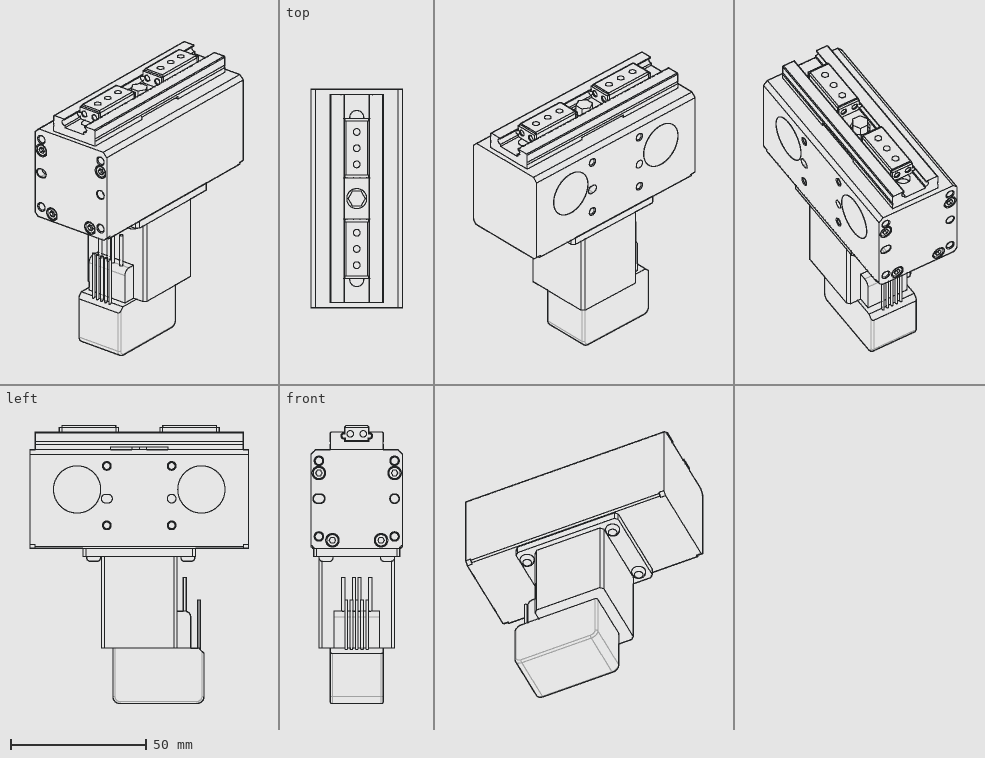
import cadquery as cq
import math


HOUSING_WIDTH = 34.0
HOUSING_HEIGHT = 36.5
BODY_LENGTH = 77.0
PLATE_THICKNESS = 2.0
HOUSING_LENGTH = BODY_LENGTH + 2 * PLATE_THICKNESS
TOP_CHAMFER = 1.7
PLATE_BOTTOM_CHAMFER = 1.4
BODY_BOTTOM_CHAMFER = 0.7
SIDE_FACE_X = -HOUSING_WIDTH / 2
END_FACE_Y = -HOUSING_LENGTH / 2

SIDE_TAP_DIAMETER = 2.5
END_TAP_DIAMETER = 2.8
TAP_CHAMFER = 0.35
TAP_DEPTH = 6.0
TAP_POINT_HALF_ANGLE = 59.0
SIDE_TAP_Y = 12.0
SIDE_TAP_PITCH_Z = 22.0
SIDE_TAP_LOW_Z = 8.5
END_TAP_X = 14.0
END_TAP_PITCH_Z = 28.0
END_TAP_LOW_Z = 4.4

SIDE_LOCATOR_DIAMETER = 3.2
END_LOCATOR_DIAMETER = 3.2
END_LOCATOR_CHAMFER = 0.2
LOCATOR_SLOT_TRAVEL = 0.9
LOCATOR_DEPTH = 3.0
LOCATOR_Z = 18.4

RECESS_DIAMETER = 17.5
RECESS_DEPTH = 0.1
RECESS_Y = 23.0
RECESS_Z = 21.8

CAP_SEAT_DIAMETER = 5.0
CAP_SEAT_DEPTH = 1.5
CAP_HEAD_DIAMETER = 4.2
CAP_SOCKET_DIAMETER = 2.4
CAP_HEAD_DEPTH = 0.2
UPPER_CAP_SCREW = (14.0, 27.9)
LOWER_CAP_SCREW = (9.0, 3.0)

FLANGE_WIDTH = 32.0
FLANGE_LENGTH = 41.7
FLANGE_THICKNESS = 3.1
CORNER_CHAMFER = 1.1
FLANGE_BOTTOM_Z = -FLANGE_THICKNESS

MOTOR_SIZE = 28.0
MOTOR_BOTTOM_Z = -36.9

HEAD_DIAMETER = 5.2
HEAD_TIP_DIAMETER = 3.2
HEAD_HEIGHT = 1.75
HEAD_BULGE = 0.7
HEAD_X = 11.4
HEAD_REAR_Y = 16.9
HEAD_FRONT_Y = -18.0

ENCODER_WIDTH = 19.7
ENCODER_REAR_Y = 9.8
ENCODER_FRONT_Y = -24.0
ENCODER_BOTTOM_Z = -57.5
ENCODER_FILLET = 2.7
ENCODER_TOP_CHAMFER = 2.0
ENCODER_SIDE_FILLET = 0.8

CONNECTOR_WIDTH = 17.0
CONNECTOR_FRONT_Y = -19.1
CONNECTOR_TOP_Z = -23.2
CONNECTOR_FILLET = 2.3

MOTOR_LEAD_DIAMETER = 1.2
MOTOR_LEAD_X = (-5.0, -1.0, 1.0, 5.0)
MOTOR_LEAD_Y = -16.85
MOTOR_LEAD_TOP_Z = -10.7
ENCODER_LEAD_DIAMETER = 1.0
ENCODER_LEAD_COUNT = 5
ENCODER_LEAD_PITCH = 1.95
ENCODER_LEAD_Y = -22.1
ENCODER_LEAD_TOP_Z = -19.05
LEAD_ROOT = 1.5

RAIL_WIDTH = 19.7
RAIL_TOP_Z = 43.1
RAIL_TOP_CHAMFER = 0.35
RAIL_FLOOR_Z = 39.6
RAIL_SIDE_GROOVE_Z = 39.0
RAIL_SIDE_GROOVE_HEIGHT = 1.05
RAIL_SIDE_GROOVE_DEPTH = 0.13
CHANNEL_UPPER_WIDTH = 9.6
CHANNEL_LOWER_WIDTH = 8.9
BALL_X = 4.7
BALL_Z = 41.6
BALL_GROOVE_RADIUS = 1.1
NOTCH_LENGTH = 21.2
NOTCH_HEIGHT = 1.0
RAIL_SCREW_HOLE_DIAMETER = 5.2
RAIL_SCREW_HOLE_Y = 30.0
POST_HOLE_DIAMETER = 7.4

CARRIAGE_Y = 18.65
BLOCK_WIDTH = 9.1
BLOCK_LENGTH = 20.0
BLOCK_CHAMFER_HEIGHT = 0.7
BLOCK_CHAMFER_WIDTH = 0.5
END_CAP_WIDTH = 8.8
END_CAP_LENGTH = 1.0
CARRIAGE_LOWER_WIDTH = 8.5
CARRIAGE_LENGTH = BLOCK_LENGTH + 2 * END_CAP_LENGTH
CARRIAGE_TOP_Z = 45.5
CARRIAGE_BOTTOM_Z = 39.9
BALL_BEAD_RADIUS = 0.85
CARRIAGE_HOLE_DIAMETER = 2.5
CARRIAGE_HOLE_PITCH = 6.0
CARRIAGE_HOLE_DEPTH = 3.0
CAP_HOLE_DIAMETER = 2.4
CAP_HOLE_DEPTH = 0.5
CAP_HOLE_X = 2.4
CAP_HOLE_Z = 42.4

POST_ACROSS_FLATS = 5.5
POST_TOP_Z = 42.5


def centred_box(width, length, bottom_z, top_z):
    box = cq.Workplane("XY").box(width, length, top_z - bottom_z, centered=(True, True, False))
    return box.translate((0, 0, bottom_z))


def rod(diameter, x, y, bottom_z, top_z):
    return cq.Workplane("XY", origin=(x, y, bottom_z)).circle(diameter / 2).extrude(top_z - bottom_z)


def end_plane(x, z):
    """Workplane on the -Y end face, facing into the housing."""
    return cq.Workplane(cq.Plane((x, END_FACE_Y, z), xDir=(1, 0, 0), normal=(0, 1, 0)))


def side_plane(y, z):
    """Workplane on the -X side face, facing into the housing."""
    return cq.Workplane(cq.Plane((SIDE_FACE_X, y, z), xDir=(0, 1, 0), normal=(1, 0, 0)))


def tapped_hole(plane, diameter):
    """Cutter of a blind tapped hole with a chamfered mouth and a drill point."""
    mouth = plane.circle(diameter / 2 + TAP_CHAMFER).extrude(TAP_CHAMFER, taper=45)
    bore = plane.circle(diameter / 2).extrude(TAP_DEPTH)
    point_length = diameter / 2 / math.tan(math.radians(TAP_POINT_HALF_ANGLE))
    bottom = plane.workplane(offset=TAP_DEPTH).plane
    point = cq.Solid.makeCone(diameter / 2, 0, point_length, bottom.origin, bottom.zDir)
    return bore.union(mouth).union(cq.Workplane(point))


def cap_screw_recess(plane):
    """Cutter around and into a cap screw sunk in its seat."""
    seat = plane.circle(CAP_SEAT_DIAMETER / 2).extrude(CAP_SEAT_DEPTH)
    head = plane.workplane(offset=CAP_HEAD_DEPTH).circle(CAP_HEAD_DIAMETER / 2).extrude(CAP_SEAT_DEPTH)
    socket = plane.polygon(6, CAP_SOCKET_DIAMETER).extrude(CAP_SEAT_DEPTH)
    return seat.cut(head).union(socket)


def build_shell():
    """Body between two end plates."""
    body = centred_box(HOUSING_WIDTH, BODY_LENGTH, 0, HOUSING_HEIGHT)
    body = body.edges("|Y and >Z").chamfer(TOP_CHAMFER)
    body = body.edges("|Y and <Z").chamfer(BODY_BOTTOM_CHAMFER)
    shell = body
    for end in (-1, 1):
        plate = centred_box(HOUSING_WIDTH, PLATE_THICKNESS, 0, HOUSING_HEIGHT)
        plate = plate.edges("|Y and >Z").chamfer(TOP_CHAMFER)
        plate = plate.edges("|Y and <Z").chamfer(PLATE_BOTTOM_CHAMFER)
        shell = shell.union(plate.translate((0, end * (BODY_LENGTH + PLATE_THICKNESS) / 2, 0)))
    return shell


def cut_side_features(shell):
    for y in (-SIDE_TAP_Y, SIDE_TAP_Y):
        for z in (SIDE_TAP_LOW_Z, SIDE_TAP_LOW_Z + SIDE_TAP_PITCH_Z):
            shell = shell.cut(tapped_hole(side_plane(y, z), SIDE_TAP_DIAMETER))
    for y in (-RECESS_Y, RECESS_Y):
        shell = shell.cut(side_plane(y, RECESS_Z).circle(RECESS_DIAMETER / 2).extrude(RECESS_DEPTH))
    hole = side_plane(-SIDE_TAP_Y, LOCATOR_Z).circle(SIDE_LOCATOR_DIAMETER / 2)
    slot_length = SIDE_LOCATOR_DIAMETER + LOCATOR_SLOT_TRAVEL
    slot = side_plane(SIDE_TAP_Y, LOCATOR_Z).slot2D(slot_length, SIDE_LOCATOR_DIAMETER)
    return shell.cut(hole.extrude(LOCATOR_DEPTH)).cut(slot.extrude(LOCATOR_DEPTH))


def cut_end_features(shell):
    for side in (-1, 1):
        for z in (END_TAP_LOW_Z, END_TAP_LOW_Z + END_TAP_PITCH_Z):
            tap = tapped_hole(end_plane(side * END_TAP_X, z), END_TAP_DIAMETER)
            shell = shell.cut(tap)
        for x, z in (UPPER_CAP_SCREW, LOWER_CAP_SCREW):
            shell = shell.cut(cap_screw_recess(end_plane(side * x, z)))
    hole_plane = end_plane(END_TAP_X, LOCATOR_Z)
    slot_plane = end_plane(-END_TAP_X, LOCATOR_Z)
    mouth_diameter = END_LOCATOR_DIAMETER + 2 * END_LOCATOR_CHAMFER
    for diameter, depth, taper in (
        (END_LOCATOR_DIAMETER, LOCATOR_DEPTH, 0),
        (mouth_diameter, END_LOCATOR_CHAMFER, 45),
    ):
        hole = hole_plane.circle(diameter / 2).extrude(depth, taper=taper)
        slot = slot_plane.slot2D(diameter + LOCATOR_SLOT_TRAVEL, diameter).extrude(depth, taper=taper)
        shell = shell.cut(hole).cut(slot)
    return shell


def build_motor():
    """Flange with its screw heads, and the motor body below it."""
    flange = centred_box(FLANGE_WIDTH, FLANGE_LENGTH, FLANGE_BOTTOM_Z, 0)
    flange = flange.edges("|Z").chamfer(CORNER_CHAMFER)
    motor = centred_box(MOTOR_SIZE, MOTOR_SIZE, MOTOR_BOTTOM_Z, FLANGE_BOTTOM_Z)
    motor = flange.union(motor.edges("|Z").chamfer(CORNER_CHAMFER))
    for x in (-HEAD_X, HEAD_X):
        for y in (HEAD_FRONT_Y, HEAD_REAR_Y):
            motor = motor.union(build_screw_head().translate((x, y, FLANGE_BOTTOM_Z)))
    return motor


def build_screw_head():
    """Domed screw head hanging from Z = 0."""
    rim = HEAD_DIAMETER / 2
    tip = HEAD_TIP_DIAMETER / 2
    bulge = (tip + HEAD_BULGE * (rim - tip), -HEAD_BULGE * HEAD_HEIGHT)
    half = cq.Workplane("XZ").lineTo(rim, 0).threePointArc(bulge, (tip, -HEAD_HEIGHT))
    half = half.lineTo(0, -HEAD_HEIGHT).close()
    return half.revolve(360, (0, 0, 0), (0, 1, 0))


def build_encoder():
    """Encoder cover under the motor."""
    length = ENCODER_REAR_Y - ENCODER_FRONT_Y
    cover = centred_box(ENCODER_WIDTH, length, ENCODER_BOTTOM_Z, MOTOR_BOTTOM_Z)
    cover = cover.edges("|X and <Z").fillet(ENCODER_FILLET)
    for side in ("<X", ">X"):
        cover = cover.faces(side).edges("not(|Y and >Z)").fillet(ENCODER_SIDE_FILLET)
    corner = cq.Workplane("YZ", origin=(0, -length / 2, MOTOR_BOTTOM_Z)).lineTo(ENCODER_TOP_CHAMFER, 0)
    corner = corner.lineTo(0, -ENCODER_TOP_CHAMFER).close().extrude(ENCODER_WIDTH, both=True)
    cover = cover.cut(corner)
    return cover.translate((0, (ENCODER_REAR_Y + ENCODER_FRONT_Y) / 2, 0))


def build_connector():
    """Block on the motor front that the motor leads come out of."""
    length = -MOTOR_SIZE / 2 - CONNECTOR_FRONT_Y
    block = centred_box(CONNECTOR_WIDTH, length, MOTOR_BOTTOM_Z, CONNECTOR_TOP_Z)
    block = block.edges("|X and >Z and <Y").fillet(CONNECTOR_FILLET)
    return block.translate((0, CONNECTOR_FRONT_Y + length / 2, 0))


def build_leads():
    leads = []
    for x in MOTOR_LEAD_X:
        root_z = CONNECTOR_TOP_Z - LEAD_ROOT
        leads.append(rod(MOTOR_LEAD_DIAMETER, x, MOTOR_LEAD_Y, root_z, MOTOR_LEAD_TOP_Z))
    for index in range(ENCODER_LEAD_COUNT):
        x = (index - (ENCODER_LEAD_COUNT - 1) / 2) * ENCODER_LEAD_PITCH
        root_z = MOTOR_BOTTOM_Z - LEAD_ROOT
        leads.append(rod(ENCODER_LEAD_DIAMETER, x, ENCODER_LEAD_Y, root_z, ENCODER_LEAD_TOP_Z))
    return leads


def build_housing():
    housing = cut_end_features(cut_side_features(build_shell()))
    housing = housing.union(build_motor()).union(build_encoder()).union(build_connector())
    for lead in build_leads():
        housing = housing.union(lead)
    return housing


def along_y(diameter, x, z, length):
    """Round bar along Y, centred on Y = 0."""
    bar = cq.Workplane("XZ", origin=(x, length / 2, z))
    return bar.circle(diameter / 2).extrude(length)


def build_rail():
    """Channel rail with ball grooves, lying on the housing."""
    rail = centred_box(RAIL_WIDTH, BODY_LENGTH, HOUSING_HEIGHT, RAIL_TOP_Z)
    rail = rail.edges("|Y and >Z").chamfer(RAIL_TOP_CHAMFER)
    rail = rail.cut(centred_box(CHANNEL_LOWER_WIDTH, BODY_LENGTH, RAIL_FLOOR_Z, BALL_Z))
    rail = rail.cut(centred_box(CHANNEL_UPPER_WIDTH, BODY_LENGTH, BALL_Z, RAIL_TOP_Z))
    chord, depth = RAIL_SIDE_GROOVE_HEIGHT, RAIL_SIDE_GROOVE_DEPTH
    groove_radius = (chord**2 / 4 + depth**2) / (2 * depth)
    groove_x = RAIL_WIDTH / 2 - depth + groove_radius
    for side in (-1, 1):
        groove = along_y(2 * groove_radius, side * groove_x, RAIL_SIDE_GROOVE_Z, BODY_LENGTH)
        rail = rail.cut(groove)
    for x in (-BALL_X, BALL_X):
        rail = rail.cut(along_y(2 * BALL_GROOVE_RADIUS, x, BALL_Z, BODY_LENGTH))
    notch_top_z = HOUSING_HEIGHT + NOTCH_HEIGHT
    rail = rail.cut(centred_box(RAIL_WIDTH, NOTCH_LENGTH, HOUSING_HEIGHT, notch_top_z))
    for y in (-RAIL_SCREW_HOLE_Y, RAIL_SCREW_HOLE_Y):
        rail = rail.cut(rod(RAIL_SCREW_HOLE_DIAMETER, 0, y, HOUSING_HEIGHT, RAIL_FLOOR_Z))
    return rail.cut(rod(POST_HOLE_DIAMETER, 0, 0, HOUSING_HEIGHT, RAIL_FLOOR_Z))


def build_carriage():
    """Carriage block with end caps and a ball bead along each side."""
    shoulder_z = CARRIAGE_TOP_Z - BLOCK_CHAMFER_HEIGHT
    block = centred_box(BLOCK_WIDTH, BLOCK_LENGTH, BALL_Z, CARRIAGE_TOP_Z)
    block = block.faces(">Z").edges("|Y").chamfer(BLOCK_CHAMFER_HEIGHT, BLOCK_CHAMFER_WIDTH)
    caps = centred_box(END_CAP_WIDTH, CARRIAGE_LENGTH, BALL_Z, shoulder_z)
    foot = centred_box(CARRIAGE_LOWER_WIDTH, CARRIAGE_LENGTH, CARRIAGE_BOTTOM_Z, BALL_Z)
    carriage = block.union(caps).union(foot)
    for x in (-BALL_X, BALL_X):
        carriage = carriage.union(along_y(2 * BALL_BEAD_RADIUS, x, BALL_Z, CARRIAGE_LENGTH))
    for step in (-1, 0, 1):
        bottom_z = CARRIAGE_TOP_Z - CARRIAGE_HOLE_DEPTH
        y = step * CARRIAGE_HOLE_PITCH
        carriage = carriage.cut(rod(CARRIAGE_HOLE_DIAMETER, 0, y, bottom_z, CARRIAGE_TOP_Z))
    for end in (-1, 1):
        for x in (-CAP_HOLE_X, CAP_HOLE_X):
            hole = along_y(CAP_HOLE_DIAMETER, x, CAP_HOLE_Z, 2 * CAP_HOLE_DEPTH)
            carriage = carriage.cut(hole.translate((0, end * CARRIAGE_LENGTH / 2, 0)))
    return carriage


def build_post():
    """Hexagonal post standing on the housing, inside the hole of the rail."""
    across_corners = POST_ACROSS_FLATS / math.cos(math.radians(30))
    base = cq.Workplane("XY", origin=(0, 0, HOUSING_HEIGHT))
    return base.polygon(6, across_corners).extrude(POST_TOP_Z - HOUSING_HEIGHT)


housing = build_housing()
rail = build_rail()
carriages = [build_carriage().translate((0, y, 0)) for y in (-CARRIAGE_Y, CARRIAGE_Y)]
post = build_post()

result = cq.Compound.makeCompound(
    [housing.val(), rail.val(), *[carriage.val() for carriage in carriages], post.val()]
)